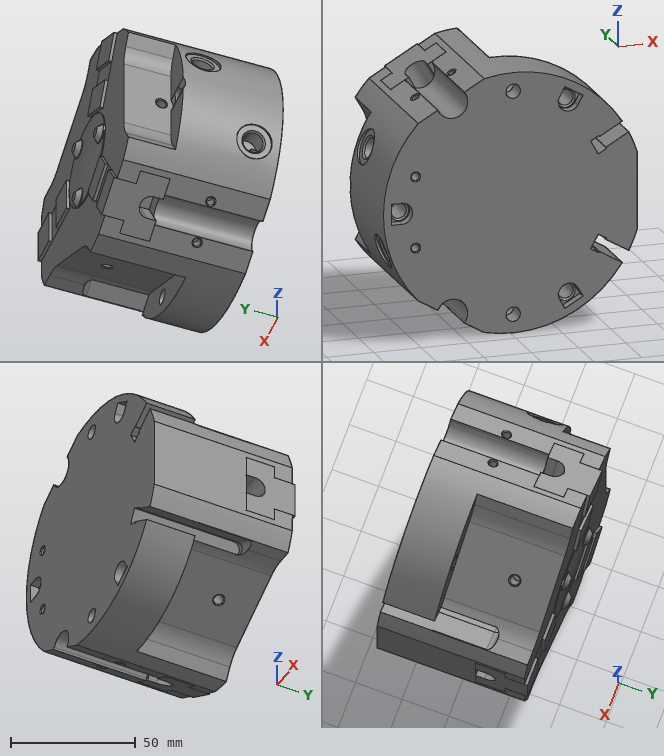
import cadquery as cq
import math


BODY_RADIUS = 54.9
BODY_DEPTH = 63.2
FLAT_REACH = 52.5
JAW_ANGLES = (0, 120, 240)
GROOVED_ANGLES = (120, 240)
SCREW_ANGLES = (60, 180, 300)

JAW_INNER_REACH = 20.7
JAW_BACK = 42.2
JAW_SHOULDER = 54.9
JAW_FRONT = 64.5
JAW_FOOT_WIDTH = 27.0
JAW_STEM_WIDTH = 16.0
KEY_SLOT_REACH = 36.4
KEY_SLOT_WIDTH = 8.1

GROOVE_RADIUS = 6.5
GROOVE_REACH = 51.5
RECESS_RADIUS = 4.6
RECESS_CENTRE = 46.1
RECESS_FLOOR_REACH = 36.3

SCALLOP_REACH = 40.9
SCALLOP_FLAT_HALF = 16.7
SCALLOP_BLEND_RADIUS = 15.9
SCALLOP_FLARE = 30.0
SCALLOP_FLOORS = {60: 22.2, 180: 43.0, 300: 22.2}

SCALLOP_HOLE_Y = 47.0
SCALLOP_HOLE_DIAMETER = 4.2
SCALLOP_HOLE_MOUTH = 5.0
SCALLOP_HOLE_DEPTH = 8.8
SCALLOP_CLEARANCE_DIAMETER = 10.0

SCREW_REACH = 47.0
SCREW_DIAMETER = 6.6
SCREW_MOUTH = 8.0
POCKET_RADIUS = 4.4
POCKET_DEPTH = 4.0

SENSOR_ANGLES = (30, -30)
SENSOR_INNER_REACH = 39.7
SENSOR_STEP_REACH = 43.7
SENSOR_INNER_WIDTH = 6.6
SENSOR_WIDTH = 5.5
SENSOR_END_Y = 45.4

PORT_HEIGHTS = {160: 33.1, 200: 11.1}
PURGE_DEPTHS = {160: 32.7, 200: 8.8}
PORT_FACE_REACH = 53.8
PORT_FACE_DIAMETER = 15.0
PORT_DIAMETER = 8.6
PORT_MOUTH = 10.0
PORT_DEPTH = 9.3
PURGE_REACH = 44.0
PURGE_DIAMETER = 3.3
PURGE_MOUTH = 4.2
PURGE_TIP_ANGLE = 90.0

LOCATING_HEIGHT = 47.0
LOCATING_DIAMETER = 6.0
LOCATING_DEPTH = 8.8
LOCATING_TIP_ANGLE = 118.0

FLAT_HOLE_Y = 23.2
FLAT_HOLE_OFFSET = 8.9
FLAT_HOLE_DIAMETER = 3.3
FLAT_HOLE_MOUTH = 4.2
FLAT_HOLE_DEPTH = 6.6

CAP_RADIUS = 19.9
CAP_RIM_HEIGHT = 0.4
CAP_CENTRE_HEIGHT = 1.1
HEAD_TOP_Y = 66.1
HEAD_REACH = 16.0
HEAD_DIAMETER = 8.0
HEAD_TOP_DIAMETER = 4.0

EXTRA = 5.5


def turned(shape, angle):
    """Turn a shape built around the +X direction to another angle about the axis."""
    return shape.rotate((0, 0, 0), (0, -1, 0), angle)


def block(x_start, x_end, y_start, y_end, width):
    """Box spanning the given X and Y, centred on Z = 0."""
    size = (x_end - x_start, y_end - y_start, width)
    return cq.Workplane("XY").box(*size, centered=(False, False, True)).translate((x_start, y_start, 0))


def axial_plane(y, x=0, z=0):
    """Sketch plane facing +Y, with its first axis along +X and its second along -Z."""
    return cq.Workplane(cq.Plane(origin=(x, y, z), xDir=(1, 0, 0), normal=(0, 1, 0)))


def axial_rod(diameter, y_start, y_end, x=0, z=0):
    """Cylinder parallel to the housing axis."""
    return axial_plane(y_start, x, z).circle(diameter / 2).extrude(y_end - y_start)


def radial_rod(diameter, x_start, x_end, y, z=0):
    """Cylinder parallel to X."""
    plane = cq.Workplane("YZ", origin=(x_start, y, z))
    return plane.circle(diameter / 2).extrude(x_end - x_start)


def frustum(start, direction, start_diameter, end_diameter, height):
    """Cone, or cut-off cone, growing from a start point along a direction."""
    cone = cq.Solid.makeCone(start_diameter / 2, end_diameter / 2, height, pnt=start, dir=direction)
    return cq.Workplane(cone)


def countersunk_radial_hole(diameter, mouth, face_reach, depth, y, z=0):
    """Blind hole along X with a 45 degree chamfer at its outer mouth."""
    hole = radial_rod(diameter, face_reach - depth, face_reach + EXTRA, y, z)
    chamfer = frustum((face_reach, y, z), (-1, 0, 0), mouth, diameter, (mouth - diameter) / 2)
    return hole.union(chamfer)


def countersunk_axial_hole(diameter, mouth, y_start, y_end, x):
    """Hole along Y with a 45 degree chamfer where it starts."""
    hole = axial_rod(diameter, y_start, y_end, x)
    chamfer = frustum((x, y_start, 0), (0, 1, 0), mouth, diameter, (mouth - diameter) / 2)
    return hole.union(chamfer)


def drill_tip(diameter, tip_angle, depth, x, z):
    """Conical end of a hole drilled along +Y."""
    height = diameter / 2 / math.tan(math.radians(tip_angle / 2))
    return frustum((x, depth, z), (0, 1, 0), diameter, 0, height)


def make_t_bar(outer_reach):
    """T-section bar along +X: wide foot, with a narrower stem on its +Y side."""
    foot = block(JAW_INNER_REACH, outer_reach, JAW_BACK, JAW_SHOULDER, JAW_FOOT_WIDTH)
    stem = block(JAW_INNER_REACH, outer_reach, JAW_SHOULDER, JAW_FRONT, JAW_STEM_WIDTH)
    return foot.union(stem)


def make_jaw():
    """Jaw on the +X side, with a key slot and a round-ended recess in its outer end."""
    slot_start = KEY_SLOT_REACH - KEY_SLOT_WIDTH / 2
    key_slot = block(slot_start, slot_start + KEY_SLOT_WIDTH, BODY_DEPTH, JAW_FRONT, JAW_STEM_WIDTH)
    recess_bore = radial_rod(2 * RECESS_RADIUS, RECESS_FLOOR_REACH, FLAT_REACH, RECESS_CENTRE)
    recess_mouth = block(RECESS_FLOOR_REACH, FLAT_REACH, JAW_BACK, RECESS_CENTRE, 2 * RECESS_RADIUS)
    return make_t_bar(FLAT_REACH).cut(key_slot).cut(recess_bore).cut(recess_mouth)


def make_scallop(floor_y):
    """Cut with a flat floor, blended into two flared sides, open to +Y."""
    flare = math.radians(SCALLOP_FLARE)
    half = math.radians(SCALLOP_FLARE / 2)
    mid_x = SCALLOP_REACH + SCALLOP_BLEND_RADIUS * (1 - math.cos(half))
    mid_z = SCALLOP_FLAT_HALF + SCALLOP_BLEND_RADIUS * math.sin(half)
    blend_x = SCALLOP_REACH + SCALLOP_BLEND_RADIUS * (1 - math.cos(flare))
    blend_z = SCALLOP_FLAT_HALF + SCALLOP_BLEND_RADIUS * math.sin(flare)
    open_x = BODY_RADIUS + EXTRA
    open_z = blend_z + (open_x - blend_x) / math.tan(flare)
    return (
        axial_plane(floor_y)
        .moveTo(SCALLOP_REACH, -SCALLOP_FLAT_HALF)
        .lineTo(SCALLOP_REACH, SCALLOP_FLAT_HALF)
        .threePointArc((mid_x, mid_z), (blend_x, blend_z))
        .lineTo(open_x, open_z)
        .lineTo(open_x, -open_z)
        .lineTo(blend_x, -blend_z)
        .threePointArc((mid_x, -mid_z), (SCALLOP_REACH, -SCALLOP_FLAT_HALF))
        .close()
        .extrude(BODY_DEPTH - floor_y)
    )


def make_scallop_hole():
    """Threaded hole in the scallop floor, with clearance outwards of it."""
    hole = countersunk_radial_hole(
        SCALLOP_HOLE_DIAMETER, SCALLOP_HOLE_MOUTH, SCALLOP_REACH, SCALLOP_HOLE_DEPTH, SCALLOP_HOLE_Y
    )
    clearance = radial_rod(SCALLOP_CLEARANCE_DIAMETER, SCALLOP_REACH, BODY_RADIUS + EXTRA, SCALLOP_HOLE_Y)
    return hole.union(clearance)


def make_screw_hole():
    """Through hole with a pocket that is round inwards and square outwards."""
    hole = countersunk_axial_hole(SCREW_DIAMETER, SCREW_MOUTH, POCKET_DEPTH, BODY_DEPTH, SCREW_REACH)
    round_side = axial_rod(2 * POCKET_RADIUS, 0, POCKET_DEPTH, SCREW_REACH)
    square_side = block(SCREW_REACH, SCREW_REACH + POCKET_RADIUS, 0, POCKET_DEPTH, 2 * POCKET_RADIUS)
    return hole.union(round_side).union(square_side)


def make_round_ended_slot(x_start, x_end, width):
    """Slot open to the front face, with a half-round end at +Y."""
    slot = block(x_start, x_end, 0, SENSOR_END_Y, width)
    return slot.union(radial_rod(width, x_start, x_end, SENSOR_END_Y))


def make_sensor_slot():
    """Slot along X that widens at its inner end."""
    outer = make_round_ended_slot(SENSOR_STEP_REACH, BODY_RADIUS + EXTRA, SENSOR_WIDTH)
    inner = make_round_ended_slot(SENSOR_INNER_REACH, SENSOR_STEP_REACH, SENSOR_INNER_WIDTH)
    return outer.union(inner)


def make_port(port_y, purge_depth):
    """Spot-faced air port, with a drilled purge hole that reaches it from the front face."""
    face = radial_rod(PORT_FACE_DIAMETER, PORT_FACE_REACH, BODY_RADIUS + EXTRA, port_y)
    bore = countersunk_radial_hole(PORT_DIAMETER, PORT_MOUTH, PORT_FACE_REACH, PORT_DEPTH, port_y)
    purge = countersunk_axial_hole(PURGE_DIAMETER, PURGE_MOUTH, 0, purge_depth, PURGE_REACH)
    purge_tip = drill_tip(PURGE_DIAMETER, PURGE_TIP_ANGLE, purge_depth, PURGE_REACH, 0)
    return face.union(bore).union(purge).union(purge_tip)


def make_locating_hole(z):
    """Drilled blind hole with a conical tip."""
    hole = axial_rod(LOCATING_DIAMETER, 0, LOCATING_DEPTH, 0, z)
    return hole.union(drill_tip(LOCATING_DIAMETER, LOCATING_TIP_ANGLE, LOCATING_DEPTH, 0, z))


def make_cap():
    """Low conical cap over the middle of the jaw side, with three screw heads."""
    cone_base = (0, BODY_DEPTH + CAP_RIM_HEIGHT, 0)
    cone_height = CAP_CENTRE_HEIGHT - CAP_RIM_HEIGHT
    cap = axial_rod(2 * CAP_RADIUS, BODY_DEPTH, BODY_DEPTH + CAP_RIM_HEIGHT)
    cap = cap.union(frustum(cone_base, (0, 1, 0), 2 * CAP_RADIUS, 0, cone_height))
    bevel = (HEAD_DIAMETER - HEAD_TOP_DIAMETER) / 2
    bevel_start = HEAD_TOP_Y - bevel
    head = axial_rod(HEAD_DIAMETER, BODY_DEPTH, bevel_start, HEAD_REACH).union(
        frustum((HEAD_REACH, bevel_start, 0), (0, 1, 0), HEAD_DIAMETER, HEAD_TOP_DIAMETER, bevel)
    )
    for angle in SCREW_ANGLES:
        cap = cap.union(turned(head, angle))
    return cap


def make_housing():
    """Round housing with all of its cuts, and the cap on its jaw side."""
    body = axial_rod(2 * BODY_RADIUS, 0, BODY_DEPTH)

    flat_cut = block(FLAT_REACH, BODY_RADIUS + EXTRA, 0, BODY_DEPTH, 2 * BODY_RADIUS)
    jaw_channel = make_t_bar(FLAT_REACH + EXTRA)
    for angle in JAW_ANGLES:
        body = body.cut(turned(flat_cut, angle))
        body = body.cut(turned(jaw_channel, angle))

    groove_bottom = axial_rod(2 * GROOVE_RADIUS, 0, JAW_BACK, GROOVE_REACH)
    groove_mouth = block(GROOVE_REACH, BODY_RADIUS, 0, JAW_BACK, 2 * GROOVE_RADIUS)
    groove = groove_bottom.union(groove_mouth)
    for angle in GROOVED_ANGLES:
        body = body.cut(turned(groove, angle))
        for offset in (-FLAT_HOLE_OFFSET, FLAT_HOLE_OFFSET):
            flat_hole = countersunk_radial_hole(
                FLAT_HOLE_DIAMETER, FLAT_HOLE_MOUTH, FLAT_REACH, FLAT_HOLE_DEPTH, FLAT_HOLE_Y, offset
            )
            body = body.cut(turned(flat_hole, angle))

    for angle, floor_y in SCALLOP_FLOORS.items():
        body = body.cut(turned(make_scallop(floor_y), angle))
        body = body.cut(turned(make_scallop_hole(), angle))

    for angle in SCREW_ANGLES:
        body = body.cut(turned(make_screw_hole(), angle))
    for angle in SENSOR_ANGLES:
        body = body.cut(turned(make_sensor_slot(), angle))
    for angle, port_y in PORT_HEIGHTS.items():
        body = body.cut(turned(make_port(port_y, PURGE_DEPTHS[angle]), angle))
    for z in (-LOCATING_HEIGHT, LOCATING_HEIGHT):
        body = body.cut(make_locating_hole(z))

    return body.union(make_cap())


housing = make_housing()
jaws = [turned(make_jaw(), angle) for angle in JAW_ANGLES]

result = cq.Compound.makeCompound([housing.val(), *[jaw.val() for jaw in jaws]])